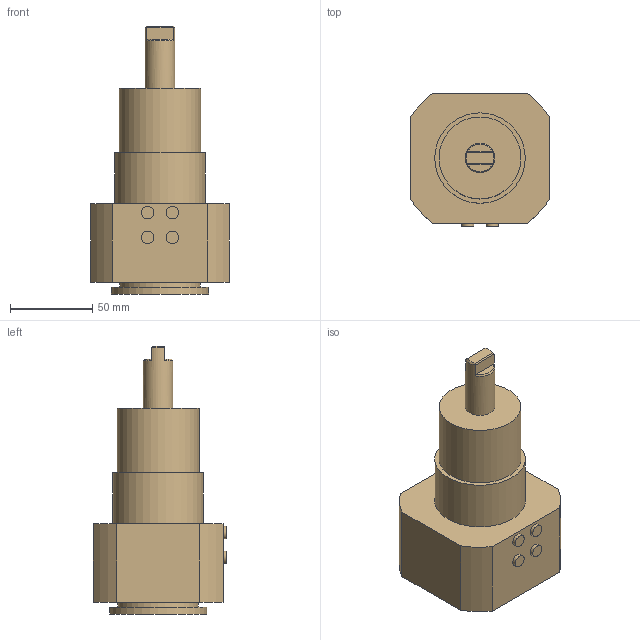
import cadquery as cq
import math

SHAFT_TOP = 108.0
PILOT_TOP = 70.0
SHOULDER_TOP = 31.0
BODY_BOTTOM = -48.0
NECK_BOTTOM = -51.0
FLANGE_BOTTOM = -55.0

SHAFT_DIAMETER = 18.0
PILOT_DIAMETER = 49.8
SHOULDER_DIAMETER = 55.0
NECK_DIAMETER = 49.0
FLANGE_DIAMETER = 59.0

BODY_WIDTH = 84.0
BODY_DEPTH = 79.0
BODY_CORNER_DIAMETER = 98.0

TANG_THICKNESS = 8.0
TANG_HEIGHT = 8.0
CHAMFER_HEIGHT = 1.0
CHAMFER_ANGLE = 30.0
CHAMFER_INSET = CHAMFER_HEIGHT * math.tan(math.radians(CHAMFER_ANGLE))

PIN_DIAMETER = 7.6
PIN_PROJECTION = 2.2
PIN_SPACING = 15.0
UPPER_PIN_Z = -5.5


def cylinder(diameter, bottom, top):
    """Cylinder on the Z axis between two levels."""
    return cq.Workplane("XY").workplane(offset=bottom).circle(diameter / 2).extrude(top - bottom)


def chamfered_cylinder(diameter, bottom, top):
    """Cylinder on the Z axis with a steep chamfer round its top edge."""
    radius = diameter / 2
    return (
        cq.Workplane("XZ")
        .moveTo(0, bottom)
        .lineTo(radius, bottom)
        .lineTo(radius, top - CHAMFER_HEIGHT)
        .lineTo(radius - CHAMFER_INSET, top)
        .lineTo(0, top)
        .close()
        .revolve(360, (0, 0, 0), (0, 1, 0))
    )


def make_body():
    """Block with its four vertical corners rounded about the Z axis."""
    height = -BODY_BOTTOM
    block = cq.Workplane("XY").workplane(offset=BODY_BOTTOM).rect(BODY_WIDTH, BODY_DEPTH).extrude(height)
    return block.intersect(cylinder(BODY_CORNER_DIAMETER, BODY_BOTTOM, 0))


def make_tang(base):
    """Flat tang across the shaft, chamfered along both flats and round its ends."""
    half = TANG_THICKNESS / 2
    flats = (
        cq.Workplane("YZ")
        .moveTo(-half, base)
        .lineTo(half, base)
        .lineTo(half, SHAFT_TOP - CHAMFER_HEIGHT)
        .lineTo(half - CHAMFER_INSET, SHAFT_TOP)
        .lineTo(CHAMFER_INSET - half, SHAFT_TOP)
        .lineTo(-half, SHAFT_TOP - CHAMFER_HEIGHT)
        .close()
        .extrude(SHAFT_DIAMETER / 2, both=True)
    )
    return flats.intersect(chamfered_cylinder(SHAFT_DIAMETER, base, SHAFT_TOP))


def make_shaft():
    """Drive shaft with a chamfered shoulder on each side of the tang."""
    shoulder = SHAFT_TOP - TANG_HEIGHT
    tang_base = shoulder - CHAMFER_HEIGHT
    shaft = chamfered_cylinder(SHAFT_DIAMETER, PILOT_TOP, shoulder)
    return shaft.union(make_tang(tang_base))


def make_pins():
    """Four pins standing out of the -Y face of the body."""
    half = PIN_SPACING / 2
    centres = [(x, z) for x in (-half, half) for z in (UPPER_PIN_Z, UPPER_PIN_Z - PIN_SPACING)]
    face = cq.Workplane("XZ", origin=(0, -BODY_DEPTH / 2, 0))
    return face.pushPoints(centres).circle(PIN_DIAMETER / 2).extrude(PIN_PROJECTION)


result = (
    make_body()
    .union(cylinder(SHOULDER_DIAMETER, 0, SHOULDER_TOP))
    .union(cylinder(PILOT_DIAMETER, SHOULDER_TOP, PILOT_TOP))
    .union(make_shaft())
    .union(cylinder(NECK_DIAMETER, NECK_BOTTOM, BODY_BOTTOM))
    .union(cylinder(FLANGE_DIAMETER, FLANGE_BOTTOM, NECK_BOTTOM))
    .union(make_pins())
)